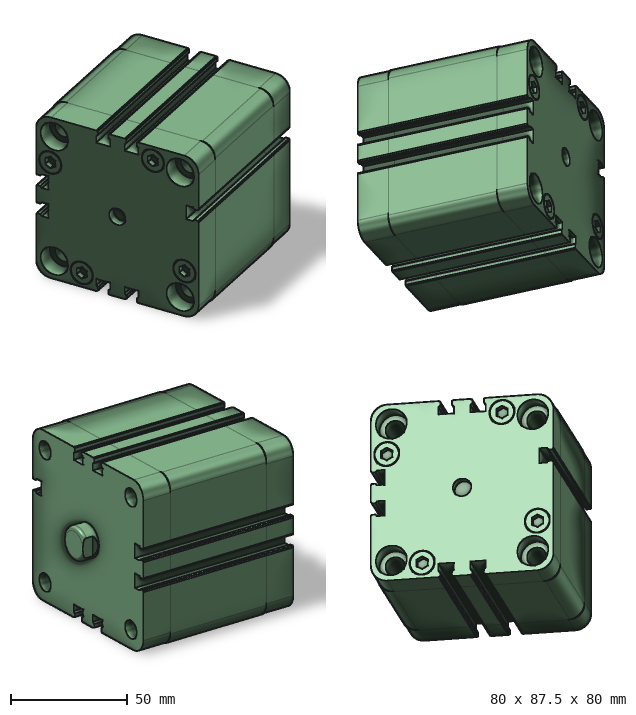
import cadquery as cq
import math

WIDTH = 80.0
LENGTH = 80.0
CAP_LENGTH = 14.4
BODY_CORNER_RADIUS = 6.5
CAP_CORNER_RADIUS = 7.2
FRONT_Y = -LENGTH / 2
REAR_Y = LENGTH / 2

SLOT_PAIR_OFFSET = 7.0
SINGLE_SLOT_OFFSET = 12.0
SLOT_MOUTH_WIDTH = 5.2
SLOT_INNER_WIDTH = 6.8
SLOT_DEPTH = 6.1
SLOT_LIP_DEPTH = 2.1
SLOT_CHAMFER_WIDTH = 0.7
SLOT_CHAMFER_DEPTH = 0.35

MOUNT_OFFSET = 31.0
MOUNT_DIAMETER = 8.38
MOUNT_COUNTERBORE_DIAMETER = 13.5
MOUNT_COUNTERBORE_DEPTH = 8.0

SCREW_NEAR_OFFSET = 17.5
SCREW_FAR_OFFSET = 33.0
SCREW_RECESS_DIAMETER = 11.1
SCREW_HEAD_DIAMETER = 10.5
SCREW_RECESS_DEPTH = 6.0
SOCKET_ACROSS_FLATS = 5.0
SOCKET_DEPTH = 3.0
SOCKET_TURN = 30

CENTRE_HOLE_DIAMETER = 8.0
CENTRE_HOLE_DEPTH = 4.0

ROD_DIAMETER = 16.0
ROD_PROTRUSION = 7.5
ROD_TIP_RADIUS = 1.8
ROD_ACROSS_FLATS = 13.0
ROD_FLAT_LENGTH = 5.3
ROD_RAMP_END = 7.0



def plane_at(y):
    """XZ sketch plane at the given Y whose extrusions run toward +Y and whose vertical axis is -Z."""
    return cq.Workplane(cq.Plane(origin=(0, y, 0), xDir=(1, 0, 0), normal=(0, 1, 0)))


def cylinders_at(points, diameter, start, length):
    """Cylinders along +Y centred on (x, z) points."""
    local_points = [(x, -z) for x, z in points]
    return plane_at(start).pushPoints(local_points).circle(diameter / 2).extrude(length)


def slot(offset, turn, start, length):
    """Undercut slot in the +Z side at x = offset, turned about Y by the given angle."""
    mouth = SLOT_MOUTH_WIDTH / 2
    inner = SLOT_INNER_WIDTH / 2
    surface = -WIDTH / 2
    lip = surface + SLOT_LIP_DEPTH
    undercut = lip + inner - mouth
    floor = surface + SLOT_DEPTH
    flare = mouth + SLOT_CHAMFER_WIDTH
    edge = surface + SLOT_CHAMFER_DEPTH
    profile = (
        plane_at(start)
        .center(offset, 0)
        .moveTo(-flare, surface)
        .lineTo(-mouth, edge)
        .lineTo(-mouth, lip)
        .lineTo(-inner, undercut)
        .lineTo(-inner, floor)
        .lineTo(inner, floor)
        .lineTo(inner, undercut)
        .lineTo(mouth, lip)
        .lineTo(mouth, edge)
        .lineTo(flare, surface)
        .close()
    )
    return profile.extrude(length).rotate((0, 0, 0), (0, 1, 0), turn)


def housing_section(start, length, corner_radius):
    """Rounded square section with slot pairs on +Z, -Z and -X, and a single slot on +X."""
    section = plane_at(start).rect(WIDTH, WIDTH).extrude(length).edges("|Y").fillet(corner_radius)
    for turn in (0, 180, -90):
        for offset in (-SLOT_PAIR_OFFSET, SLOT_PAIR_OFFSET):
            section = section.cut(slot(offset, turn, start, length))
    return section.cut(slot(-SINGLE_SLOT_OFFSET, 90, start, length))


def housing():
    """Two end caps and the profile between them, keeping the seams between the three."""
    body_start = FRONT_Y + CAP_LENGTH
    body_end = REAR_Y - CAP_LENGTH
    front_cap = housing_section(FRONT_Y, CAP_LENGTH, CAP_CORNER_RADIUS)
    body = housing_section(body_start, body_end - body_start, BODY_CORNER_RADIUS)
    rear_cap = housing_section(body_end, CAP_LENGTH, CAP_CORNER_RADIUS)
    return front_cap.union(body, clean=False).union(rear_cap, clean=False)


def cut_mounting_holes(part):
    """Through holes, counterbored from the front."""
    signs = (-1, 1)
    points = [(sx * MOUNT_OFFSET, sz * MOUNT_OFFSET) for sx in signs for sz in signs]
    holes = cylinders_at(points, MOUNT_DIAMETER, FRONT_Y, LENGTH)
    counterbores = cylinders_at(
        points, MOUNT_COUNTERBORE_DIAMETER, FRONT_Y, MOUNT_COUNTERBORE_DEPTH
    )
    return part.cut(holes, clean=False).cut(counterbores, clean=False)


def cut_screws(part):
    """Ring gaps around the screw heads, and their hexagon sockets with corners toward +Z and -Z."""
    points = [
        (SCREW_NEAR_OFFSET, SCREW_FAR_OFFSET),
        (SCREW_FAR_OFFSET, -SCREW_NEAR_OFFSET),
        (-SCREW_NEAR_OFFSET, -SCREW_FAR_OFFSET),
        (-SCREW_FAR_OFFSET, SCREW_NEAR_OFFSET),
    ]
    recesses = cylinders_at(points, SCREW_RECESS_DIAMETER, FRONT_Y, SCREW_RECESS_DEPTH)
    heads = cylinders_at(points, SCREW_HEAD_DIAMETER, FRONT_Y, SCREW_RECESS_DEPTH)
    part = part.cut(recesses.cut(heads), clean=False)
    across_corners = SOCKET_ACROSS_FLATS / math.cos(math.pi / 6)
    for x, z in points:
        socket = (
            plane_at(FRONT_Y)
            .polygon(6, across_corners)
            .extrude(SOCKET_DEPTH)
            .rotate((0, 0, 0), (0, 1, 0), SOCKET_TURN)
            .translate((x, 0, z))
        )
        part = part.cut(socket, clean=False)
    return part


def cut_centre_hole(part):
    """Blind centring hole in the front face."""
    hole = cylinders_at([(0, 0)], CENTRE_HOLE_DIAMETER, FRONT_Y, CENTRE_HOLE_DEPTH)
    return part.cut(hole, clean=False)


def piston_rod():
    """Round-tipped rod with two flats that ramp out to the full diameter."""
    radius = ROD_DIAMETER / 2
    flat = ROD_ACROSS_FLATS / 2
    tip = REAR_Y + ROD_PROTRUSION
    rod = cylinders_at([(0, 0)], ROD_DIAMETER, REAR_Y, ROD_PROTRUSION)
    rod = rod.faces(">Y").edges().fillet(ROD_TIP_RADIUS)
    flat_cut = (
        cq.Workplane("XY")
        .moveTo(flat, tip)
        .lineTo(flat, tip - ROD_FLAT_LENGTH)
        .lineTo(radius, tip - ROD_RAMP_END)
        .lineTo(radius, tip)
        .close()
        .extrude(radius, both=True)
    )
    return rod.cut(flat_cut).cut(flat_cut.mirror("YZ"))


part = cut_mounting_holes(housing())
part = cut_screws(part)
part = cut_centre_hole(part)
result = part.union(piston_rod(), clean=False)